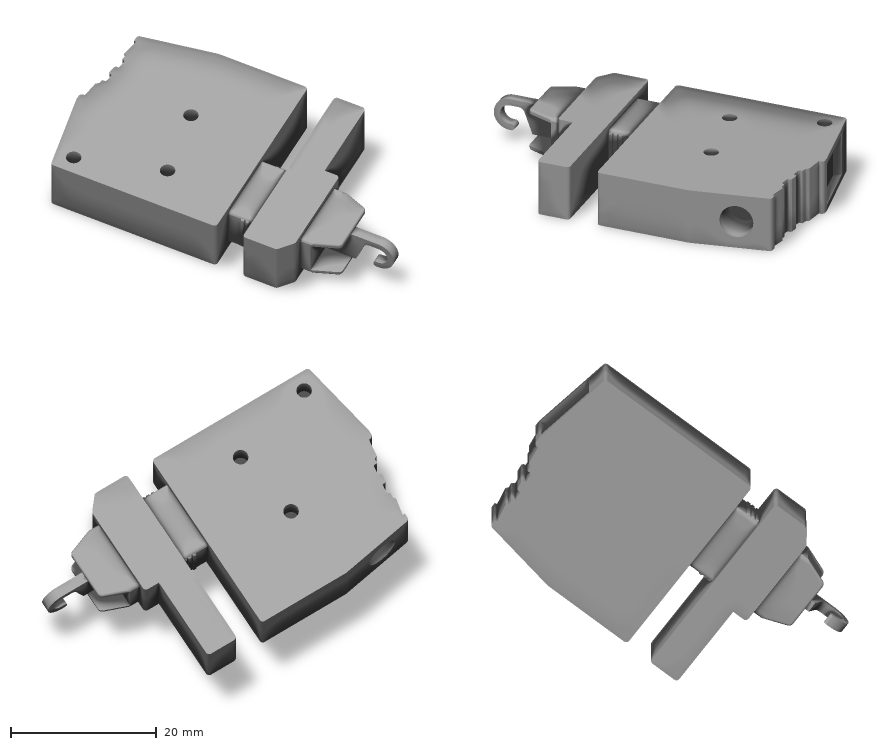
import cadquery as cq
import math

THICKNESS = 8.1
MID_Z = THICKNESS / 2
LENGTH = 50.5
CORNER_R = 0.5
SLOPE = math.radians(10)
SIN_SLOPE = math.sin(SLOPE)
COS_SLOPE = math.cos(SLOPE)
TAN_SLOPE = math.tan(SLOPE)

HOUSING_END_X = 27.5
HOUSING_WIDTH = 28.25
NOSE_LOW_Y = 12.2
NOSE_HIGH_Y = 13.35
SHOULDER_X = 2.3
SHOULDER_Y = 26.2
TOOTH_POINTS = [
    (0.7, NOSE_HIGH_Y), (1.05, 15.85), (1.5, 16.2), (1.6, 16.85), (2.05, 16.85), (2.2, 17.1),
    (2.35, 18.3), (2.0, 18.4), (1.85, 18.65), (2.0, 19.7), (2.2, 19.9), (2.65, 19.9),
    (2.85, 21.25), (2.35, 21.55), (2.5, 22.3), (2.15, 22.65), (2.7, 25.15), (SHOULDER_X, 25.15),
]

PIN_HOLE_D = 2.1
PIN_HOLE_DEPTH = 3.05
PIN_HOLE_CENTRES = [(4.4, 2.55), (15.35, 16.55), (16.95, 6.15)]

BORE_D = 4.75
BORE_DEPTH = 5.05
BORE_Y = 27.1

WINDOW_HEIGHT = 6.25
WINDOW_LOW_Y = 3.0
WINDOW_HIGH_Y = 12.0
WINDOW_FLOOR_LOW_Y = 3.85
WINDOW_FLOOR_HIGH_Y = 11.7
WINDOW_FLOOR_X = 1.2

FLANGE_X = 31.5
FLANGE_STEP_X = 36.25
FLANGE_END_X = 38.55
FLANGE_WIDTH = 28.4
FLANGE_STEP_Y = 15.75
FLANGE_CHAMFER_X = 1.8
FLANGE_CHAMFER_Y = 2.15
FLANGE_CHAMFER_R = 1.0

PLUG_MID_Y = 9.1
PLUG_WIDTH = 10.6
PLUG_HEIGHT = 6.25
PLUG_EDGE_WIDTH = 0.6
PLUG_EDGE_DROP = 0.35
PLUG_BEVEL_WIDTH = 0.15
PLUG_BEVEL_DROP = 0.2
PLUG_TAPER_X = 40.05
PLUG_END_X = 44.05
PLUG_TIP_WIDTH = 7.6
PLUG_TIP_R = 0.75
PLUG_TIP_EDGE_R = 0.3
FORK_SLOT_HEIGHT = 4.95

RIB_COUNT = 3
RIB_START_X = 29.45
RIB_PITCH = 0.75
RIB_WIDTH = 0.45
RIB_RISE = 0.2
RIB_HEIGHT = PLUG_HEIGHT - 2 * PLUG_EDGE_DROP
RIB_CHAMFER = 0.15

HOOK_THICKNESS = 1.5
HOOK_OUTER_R = 2.35
HOOK_STRIP = 0.95
HOOK_INNER_R = HOOK_OUTER_R - HOOK_STRIP
HOOK_X = LENGTH - HOOK_OUTER_R
HOOK_TIP_OVERHANG = 0.25
HOOK_HEEL_X = 44.75
HOOK_THROAT_X = 46.2
HOOK_THROAT_R = 0.95


def make_housing():
    slope_end_x = SHOULDER_X + (HOUSING_WIDTH - SHOULDER_Y) / TAN_SLOPE
    foot_x = NOSE_LOW_Y * TAN_SLOPE
    outline = [(foot_x, 0), (0, NOSE_LOW_Y), (0, NOSE_HIGH_Y)]
    outline += TOOTH_POINTS
    outline += [
        (SHOULDER_X, SHOULDER_Y),
        (slope_end_x, HOUSING_WIDTH),
        (HOUSING_END_X, HOUSING_WIDTH),
        (HOUSING_END_X, 0),
    ]
    rounded = [
        (foot_x, 0), (0, NOSE_HIGH_Y), (SHOULDER_X, SHOULDER_Y),
        (HOUSING_END_X, HOUSING_WIDTH), (HOUSING_END_X, 0),
    ]
    housing = cq.Workplane("XY").polyline(outline).close().extrude(THICKNESS)
    return round_corners(housing, rounded, CORNER_R)


def round_corners(body, corners, radius):
    """Fillet the upright edges standing on the given XY corners."""
    for x, y in corners:
        edge = cq.selectors.NearestToPointSelector((x, y, MID_Z))
        body = body.edges("|Z").edges(edge).fillet(radius)
    return body


def make_pin_holes():
    return (
        cq.Workplane("XY", origin=(0, 0, THICKNESS))
        .pushPoints(PIN_HOLE_CENTRES)
        .circle(PIN_HOLE_D / 2)
        .extrude(-PIN_HOLE_DEPTH)
    )


def make_bore():
    bore_x = SHOULDER_X + (BORE_Y - SHOULDER_Y) / TAN_SLOPE
    inward = cq.Vector(SIN_SLOPE, -COS_SLOPE, 0)
    mouth = cq.Vector(bore_x, BORE_Y, MID_Z)
    return cq.Workplane(cq.Solid.makeCylinder(BORE_D / 2, BORE_DEPTH, mouth, inward))


def make_window():
    def face_x(y):
        return (NOSE_LOW_Y - y) * TAN_SLOPE

    floor_low_x = WINDOW_FLOOR_X + (WINDOW_FLOOR_HIGH_Y - WINDOW_FLOOR_LOW_Y) * TAN_SLOPE
    outline = [
        (face_x(WINDOW_LOW_Y), WINDOW_LOW_Y),
        (floor_low_x, WINDOW_FLOOR_LOW_Y),
        (WINDOW_FLOOR_X, WINDOW_FLOOR_HIGH_Y),
        (face_x(WINDOW_HIGH_Y), WINDOW_HIGH_Y),
    ]
    base = cq.Workplane("XY", origin=(0, 0, MID_Z - WINDOW_HEIGHT / 2))
    return base.polyline(outline).close().extrude(WINDOW_HEIGHT)


def make_flange():
    outline = [
        (FLANGE_X, 0),
        (FLANGE_X, FLANGE_WIDTH),
        (FLANGE_STEP_X, FLANGE_WIDTH),
        (FLANGE_STEP_X, FLANGE_STEP_Y),
        (FLANGE_END_X, FLANGE_STEP_Y),
        (FLANGE_END_X, FLANGE_CHAMFER_Y),
        (FLANGE_END_X - FLANGE_CHAMFER_X, 0),
    ]
    inner_corner = (FLANGE_STEP_X, FLANGE_STEP_Y)
    chamfer_corner = (FLANGE_END_X, FLANGE_CHAMFER_Y)
    rounded = [corner for corner in outline if corner not in (inner_corner, chamfer_corner)]
    flange = cq.Workplane("XY").polyline(outline).close().extrude(THICKNESS)
    flange = round_corners(flange, rounded, CORNER_R)
    return round_corners(flange, [chamfer_corner], FLANGE_CHAMFER_R)


def make_plug():
    half_width = PLUG_WIDTH / 2
    half_tip = PLUG_TIP_WIDTH / 2
    outline = [
        (HOUSING_END_X, PLUG_MID_Y - half_width),
        (PLUG_TAPER_X, PLUG_MID_Y - half_width),
        (PLUG_END_X, PLUG_MID_Y - half_tip),
        (PLUG_END_X, PLUG_MID_Y + half_tip),
        (PLUG_TAPER_X, PLUG_MID_Y + half_width),
        (HOUSING_END_X, PLUG_MID_Y + half_width),
    ]
    base = cq.Workplane("XY", origin=(0, 0, MID_Z - PLUG_HEIGHT / 2))
    plug = base.polyline(outline).close().extrude(PLUG_HEIGHT)
    plug = plug.edges("|Z and >X").fillet(PLUG_TIP_R)
    plug = plug.faces("<Z or >Z").edges("not <X").fillet(PLUG_TIP_EDGE_R)
    plug = plug.intersect(make_plug_section())

    slot_length = PLUG_END_X - PLUG_TAPER_X
    slot = cq.Workplane("XY").box(slot_length, PLUG_WIDTH, FORK_SLOT_HEIGHT)
    return plug.cut(slot.translate((PLUG_TAPER_X + slot_length / 2, PLUG_MID_Y, MID_Z)))


def make_plug_section():
    """Bar whose four long edges carry an arc tangent to the broad face, then a bevel."""
    half_width = PLUG_WIDTH / 2
    half_height = PLUG_HEIGHT / 2
    flat = half_width - PLUG_EDGE_WIDTH
    side = half_height - PLUG_EDGE_DROP
    bevel_top = (half_width - PLUG_BEVEL_WIDTH, side + PLUG_BEVEL_DROP)
    return (
        cq.Workplane("YZ", origin=(HOUSING_END_X, PLUG_MID_Y, MID_Z))
        .moveTo(0, half_height)
        .lineTo(flat, half_height)
        .tangentArcPoint(bevel_top, relative=False)
        .lineTo(half_width, side)
        .lineTo(half_width, 0)
        .mirrorX()
        .mirrorY()
        .extrude(PLUG_END_X - HOUSING_END_X)
    )


def make_ribs():
    ribs = cq.Workplane("XY")
    rib_span = PLUG_WIDTH + 2 * RIB_RISE
    for index in range(RIB_COUNT):
        rib_mid_x = RIB_START_X + RIB_WIDTH / 2 + index * RIB_PITCH
        rib = cq.Workplane("XY").box(RIB_WIDTH, rib_span, RIB_HEIGHT)
        rib = rib.edges("|X").chamfer(RIB_CHAMFER)
        ribs = ribs.add(rib.translate((rib_mid_x, PLUG_MID_Y, MID_Z)))
    return ribs.combine()


def make_hook():
    top = HOOK_OUTER_R
    throat = HOOK_INNER_R
    tip_x = HOOK_X - HOOK_TIP_OVERHANG
    tip_end = (tip_x - HOOK_STRIP / 2, -(HOOK_OUTER_R + HOOK_INNER_R) / 2)
    hook = (
        cq.Workplane("XZ", origin=(0, PLUG_MID_Y, MID_Z))
        .moveTo(PLUG_TAPER_X, top)
        .lineTo(HOOK_X, top)
        .threePointArc((LENGTH, 0), (HOOK_X, -top))
        .lineTo(tip_x, -top)
        .threePointArc(tip_end, (tip_x, -throat))
        .lineTo(HOOK_X, -throat)
        .threePointArc((HOOK_X + throat, 0), (HOOK_X, throat))
        .lineTo(HOOK_THROAT_X, throat)
        .lineTo(HOOK_HEEL_X, -top)
        .lineTo(PLUG_TAPER_X, -top)
        .close()
        .extrude(HOOK_THICKNESS / 2, both=True)
    )
    throat_corner = (HOOK_THROAT_X, PLUG_MID_Y, MID_Z + throat)
    throat_edge = cq.selectors.NearestToPointSelector(throat_corner)
    return hook.edges("|Y").edges(throat_edge).fillet(HOOK_THROAT_R)


housing = make_housing().cut(make_pin_holes()).cut(make_bore()).cut(make_window())
plug = make_plug().union(make_ribs())
result = housing.union(plug).union(make_flange()).union(make_hook())